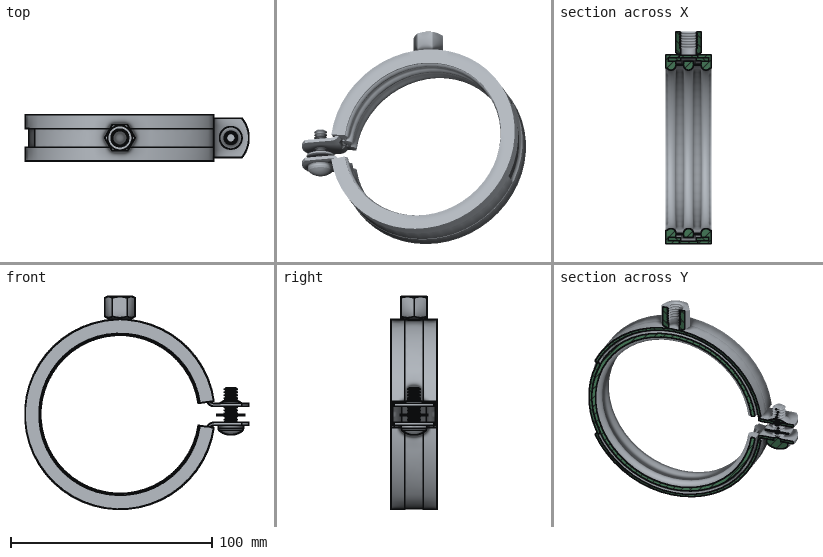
import cadquery as cq
import math


LINER_WIDTH = 23.1
LINER_OUTER_R = 47.2
LINER_SIDE_R = 40.2
GROOVE_R = 41.7
CAVITY_R = 42.5
CREST_R = 39.3
BEAD_R = 2.6
BEAD_SPACING = 8.7
GAP_HALF_ANGLE = 8.0

STRAP_WIDTH = 19.7
STRAP_T = 1.6
STRAP_INNER_R = 43.9
STRAP_OUTER_R = STRAP_INNER_R + STRAP_T
RIB_WIDTH = 9.1
RIB_WALL = 0.9
RIB_OUTER_R = STRAP_OUTER_R + STRAP_T
HINGE_HALF_ANGLE = 25.0
RIB_RAMP_ANGLE = 1.2
MOUTH_ANGLE = 2.5

EAR_IN_Z = 3.9
EAR_OUT_Z = EAR_IN_Z + STRAP_T
EAR_CORNER_X = 60.6
EAR_TIP_X = 64.2
EAR_FLAT_X = 47.0

SCREW_X = 55.1
SCREW_CORE_R = 2.5
SCREW_THREAD_R = 3.2
SCREW_TOP_Z = 13.3
SCREW_TIP_CHAMFER = 0.2
THREAD_HALF_T = 0.39
LOWEST_THREAD_Z = -2.6
TOP_THREAD_Z = 12.5
THREAD_COUNT = 11
THREAD_PITCH = (TOP_THREAD_Z - LOWEST_THREAD_Z) / (THREAD_COUNT - 1)
SHOULDER_R = 3.1
SHOULDER_TOP_Z = -3.1
HEAD_R = 6.3
HEAD_RIM_T = 1.6
HEAD_EDGE_R = 5.9
HEAD_EDGE_T = 2.6
HEAD_T = 4.8

COLLAR_BASE_R = 5.6
COLLAR_TOP_R = 2.9
COLLAR_HEIGHT = 1.6

WASHER_R = 6.9
WASHER_T = 0.8
WASHER_Z = -0.2

NUT_FLATS = 13.0
NUT_CORNER_R = NUT_FLATS / math.sqrt(3)
NUT_TOP_Z = 58.6
NUT_TOP_CHAMFER = 0.7
NUT_TOP_R = 6.1
NUT_SEAT_R = 5.1
NUT_SEAT_CHAMFER = 1.5
NUT_NECK_R = RIB_WIDTH / 2
BORE_R = 3.7
BORE_THREAD_R = 4.3
BORE_PITCH = 1.3
BORE_THREAD_COUNT = 7

THREAD_OVERLAP = 0.1


def polar(radius, angle):
    """Point at an angle from +X in the XZ plane."""
    turn = math.radians(angle)
    return radius * math.cos(turn), radius * math.sin(turn)


def tangent_radius(run, rise):
    """Radius of an arc with the given run and rise that ends level."""
    return (run**2 + rise**2) / (2 * rise)


def open_ring(section):
    """Revolve an XY section about Y, leaving the clamp's gap open at +X."""
    ring = section.revolve(360 - 2 * GAP_HALF_ANGLE, (0, 0, 0), (0, 1, 0))
    return ring.rotate((0, 0, 0), (0, 1, 0), GAP_HALF_ANGLE)


def extrude_across(profile, width):
    """Extrude an XZ profile along Y, centred on the middle plane."""
    return profile.extrude(width / 2, both=True)


def with_mirror(upper):
    """The given upper half together with its mirror image below."""
    return upper.union(upper.mirror("XY"))


def thread_rings(core_r, tip_r, half_t, heights):
    """Coaxial ridges with a triangular section, one at each height on Z."""
    overlap_r = core_r - THREAD_OVERLAP
    rings = None
    for z in heights:
        ring = (
            cq.Workplane("XZ")
            .polyline([(overlap_r, z - half_t), (core_r, z - half_t), (tip_r, z),
                       (core_r, z + half_t), (overlap_r, z + half_t)])
            .close()
            .revolve(360, (0, 0, 0), (0, 1, 0))
        )
        rings = ring if rings is None else rings.union(ring)
    return rings


def make_liner():
    half = LINER_WIDTH / 2
    slot_half = RIB_WIDTH / 2
    strap_half = STRAP_WIDTH / 2
    bead_centre_r = CREST_R + BEAD_R
    bead_half = math.sqrt(BEAD_R**2 - (bead_centre_r - GROOVE_R) ** 2)
    side_bead_in = BEAD_SPACING - bead_half
    side_bead_out = BEAD_SPACING + math.sqrt(BEAD_R**2 - (bead_centre_r - LINER_SIDE_R) ** 2)
    section = (
        cq.Workplane("XY")
        .moveTo(LINER_OUTER_R, -half)
        .lineTo(LINER_SIDE_R, -half)
        .lineTo(LINER_SIDE_R, -side_bead_out)
        .threePointArc((CREST_R, -BEAD_SPACING), (GROOVE_R, -side_bead_in))
        .lineTo(GROOVE_R, -bead_half)
        .threePointArc((CREST_R, 0), (GROOVE_R, bead_half))
        .lineTo(GROOVE_R, side_bead_in)
        .threePointArc((CREST_R, BEAD_SPACING), (LINER_SIDE_R, side_bead_out))
        .lineTo(LINER_SIDE_R, half)
        .lineTo(LINER_OUTER_R, half)
        .lineTo(LINER_OUTER_R, slot_half)
        .lineTo(STRAP_OUTER_R, slot_half)
        .lineTo(STRAP_OUTER_R, strap_half)
        .lineTo(STRAP_INNER_R, strap_half)
        .lineTo(STRAP_INNER_R, side_bead_in)
        .lineTo(CAVITY_R, side_bead_in)
        .lineTo(CAVITY_R, bead_half)
        .lineTo(STRAP_INNER_R, bead_half)
        .lineTo(STRAP_INNER_R, -bead_half)
        .lineTo(CAVITY_R, -bead_half)
        .lineTo(CAVITY_R, -side_bead_in)
        .lineTo(STRAP_INNER_R, -side_bead_in)
        .lineTo(STRAP_INNER_R, -strap_half)
        .lineTo(STRAP_OUTER_R, -strap_half)
        .lineTo(STRAP_OUTER_R, -slot_half)
        .lineTo(LINER_OUTER_R, -slot_half)
        .close()
    )
    return open_ring(section)


def rib_sector(inner_r, outer_r, start, inner_end, outer_end, width):
    """Curved bar from a start angle to a sloping far end."""
    profile = (
        cq.Workplane("XZ")
        .moveTo(*polar(inner_r, start))
        .lineTo(*polar(outer_r, start))
        .threePointArc(polar(outer_r, (start + outer_end) / 2), polar(outer_r, outer_end))
        .lineTo(*polar(inner_r, inner_end))
        .threePointArc(polar(inner_r, (start + inner_end) / 2), polar(inner_r, start))
        .close()
    )
    return extrude_across(profile, width)


def make_ear():
    inner = polar(STRAP_INNER_R, GAP_HALF_ANGLE)
    outer = polar(STRAP_OUTER_R, GAP_HALF_ANGLE)
    inner_bend_r = tangent_radius(EAR_FLAT_X - inner[0], inner[1] - EAR_IN_Z)
    outer_bend_r = tangent_radius(EAR_FLAT_X - outer[0], outer[1] - EAR_OUT_Z)
    side = extrude_across(
        cq.Workplane("XZ")
        .moveTo(*inner)
        .lineTo(*outer)
        .radiusArc((EAR_FLAT_X, EAR_OUT_Z), -outer_bend_r)
        .lineTo(EAR_TIP_X, EAR_OUT_Z)
        .lineTo(EAR_TIP_X, EAR_IN_Z)
        .lineTo(EAR_FLAT_X, EAR_IN_Z)
        .radiusArc(inner, inner_bend_r)
        .close(),
        STRAP_WIDTH,
    )
    half = STRAP_WIDTH / 2
    plan = (
        cq.Workplane("XY")
        .moveTo(0, -half)
        .lineTo(EAR_CORNER_X, -half)
        .threePointArc((EAR_TIP_X, 0), (EAR_CORNER_X, half))
        .lineTo(0, half)
        .close()
        .extrude(LINER_OUTER_R)
    )
    return side.intersect(plan)


def make_collar(screw):
    collar = (
        cq.Workplane("XZ", origin=(SCREW_X, 0, 0))
        .moveTo(0, EAR_OUT_Z)
        .lineTo(COLLAR_BASE_R, EAR_OUT_Z)
        .lineTo(COLLAR_TOP_R, EAR_OUT_Z + COLLAR_HEIGHT)
        .lineTo(0, EAR_OUT_Z + COLLAR_HEIGHT)
        .close()
        .revolve(360, (0, 0, 0), (0, 1, 0))
    )
    return collar.cut(screw)


def make_strap(screw):
    band = open_ring(
        cq.Workplane("XY")
        .moveTo((STRAP_INNER_R + STRAP_OUTER_R) / 2, 0)
        .rect(STRAP_T, STRAP_WIDTH)
    )
    base_end = 180 - HINGE_HALF_ANGLE
    crest_end = base_end - RIB_RAMP_ANGLE
    rib = rib_sector(STRAP_INNER_R, RIB_OUTER_R, GAP_HALF_ANGLE, base_end, crest_end, RIB_WIDTH)
    hollow = rib_sector(
        STRAP_INNER_R, STRAP_OUTER_R, GAP_HALF_ANGLE,
        crest_end, crest_end - RIB_RAMP_ANGLE, RIB_WIDTH - 2 * RIB_WALL,
    )
    mouth = rib_sector(
        STRAP_INNER_R, STRAP_OUTER_R, GAP_HALF_ANGLE - MOUTH_ANGLE,
        GAP_HALF_ANGLE, GAP_HALF_ANGLE, RIB_WIDTH,
    )
    formed = band.union(with_mirror(rib)).union(with_mirror(make_ear()))
    return formed.cut(with_mirror(hollow.union(mouth))).cut(screw)


def make_screw():
    head_z = -EAR_OUT_Z
    dome_r = tangent_radius(HEAD_EDGE_R, HEAD_T - HEAD_EDGE_T)
    body = (
        cq.Workplane("XZ")
        .moveTo(0, SCREW_TOP_Z)
        .lineTo(SCREW_CORE_R - SCREW_TIP_CHAMFER, SCREW_TOP_Z)
        .lineTo(SCREW_CORE_R, SCREW_TOP_Z - SCREW_TIP_CHAMFER)
        .lineTo(SCREW_CORE_R, SHOULDER_TOP_Z)
        .lineTo(SHOULDER_R, -EAR_IN_Z)
        .lineTo(SHOULDER_R, head_z)
        .lineTo(HEAD_R, head_z)
        .lineTo(HEAD_R, head_z - HEAD_RIM_T)
        .lineTo(HEAD_EDGE_R, head_z - HEAD_EDGE_T)
        .radiusArc((0, head_z - HEAD_T), dome_r)
        .close()
        .revolve(360, (0, 0, 0), (0, 1, 0))
    )
    heights = [LOWEST_THREAD_Z + i * THREAD_PITCH for i in range(THREAD_COUNT)]
    threads = thread_rings(SCREW_CORE_R, SCREW_THREAD_R, THREAD_HALF_T, heights)
    return body.union(threads).translate((SCREW_X, 0, 0))


def make_washer(screw):
    disc = cq.Workplane("XY").circle(WASHER_R).extrude(WASHER_T / 2, both=True)
    return disc.translate((SCREW_X, 0, WASHER_Z)).cut(screw)


def make_nut(strap):
    hexagon = (
        cq.Workplane("XY", origin=(0, 0, LINER_OUTER_R))
        .polygon(6, 2 * NUT_CORNER_R)
        .extrude(NUT_TOP_Z - LINER_OUTER_R)
    )
    chamfered_round = (
        cq.Workplane("XZ")
        .polyline([
            (0, LINER_OUTER_R),
            (NUT_SEAT_R, LINER_OUTER_R),
            (NUT_CORNER_R, LINER_OUTER_R + NUT_SEAT_CHAMFER),
            (NUT_CORNER_R, NUT_TOP_Z - NUT_TOP_CHAMFER),
            (NUT_TOP_R, NUT_TOP_Z),
            (0, NUT_TOP_Z),
        ])
        .close()
        .revolve(360, (0, 0, 0), (0, 1, 0))
    )
    neck = (
        cq.Workplane("XY", origin=(0, 0, STRAP_OUTER_R))
        .circle(NUT_NECK_R)
        .extrude(LINER_OUTER_R - STRAP_OUTER_R)
    )
    body = hexagon.intersect(chamfered_round).union(neck)
    bore = (
        cq.Workplane("XY", origin=(0, 0, STRAP_OUTER_R))
        .circle(BORE_R)
        .extrude(NUT_TOP_Z - STRAP_OUTER_R)
    )
    heights = [NUT_TOP_Z - i * BORE_PITCH for i in range(BORE_THREAD_COUNT)]
    threads = thread_rings(BORE_R, BORE_THREAD_R, BORE_PITCH / 2, heights)
    return body.cut(bore).cut(threads).cut(strap)


liner = make_liner()
screw = make_screw()
strap = make_strap(screw)
collar = make_collar(screw)
washer = make_washer(screw)
nut = make_nut(strap)

result = cq.Compound.makeCompound([
    *liner.vals(), *strap.vals(), *screw.vals(), *collar.vals(), *washer.vals(), *nut.vals(),
])